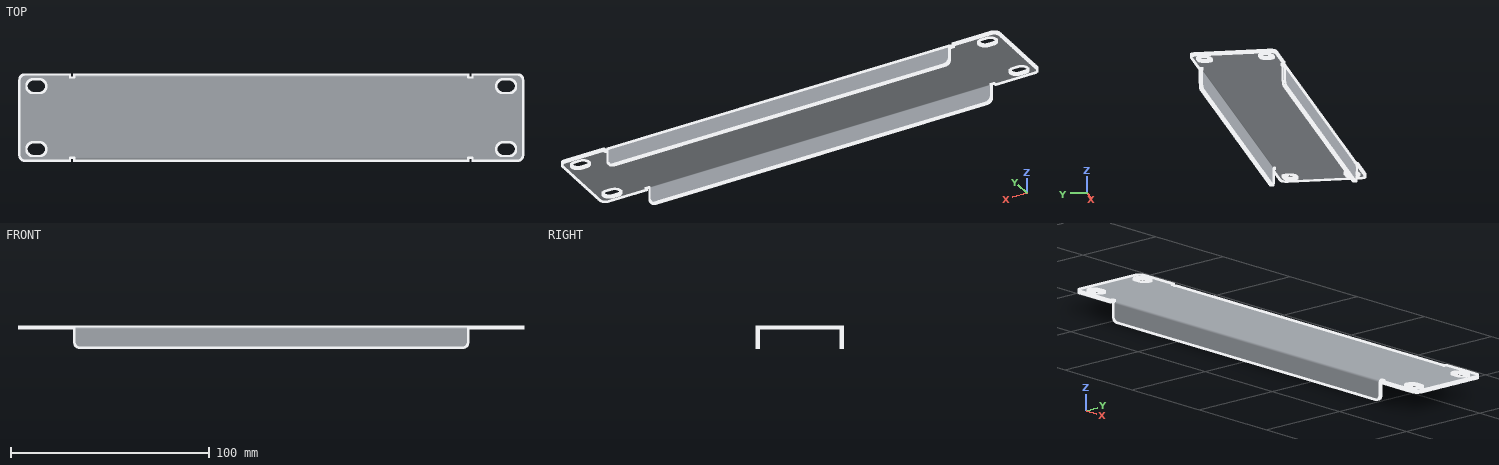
import cadquery as cq

length = 254.0
width = 43.7
height = 11.0
thickness = 1.2
plate_corner_radius = 3.0

slot_length = 10.0
slot_width = 6.9
slot_spacing_x = 236.6
slot_spacing_y = 31.7

flange_length = 198.5
flange_corner_radius = 3.0
bend_outer_radius = 1.5
bend_inner_radius = bend_outer_radius - thickness

relief_width = 2.0
relief_depth = bend_outer_radius


def make_plate():
    """Rounded plate with relief openings where the flanges fold down."""
    plate = (
        cq.Workplane("XY")
        .box(length, width, thickness, centered=(True, True, False))
        .edges("|Z")
        .fillet(plate_corner_radius)
        .translate((0, 0, height - thickness))
    )
    opening_length = flange_length + 2 * relief_width
    openings = (
        cq.Workplane("XY")
        .pushPoints([(0, width / 2), (0, -width / 2)])
        .rect(opening_length, 2 * relief_depth)
        .extrude(height)
    )
    slots = (
        cq.Workplane("XY")
        .rarray(slot_spacing_x, slot_spacing_y, 2, 2)
        .slot2D(slot_length, slot_width)
        .extrude(height)
    )
    return plate.cut(openings).cut(slots)


def make_channel():
    """Plate middle and both flanges, folded from one sheet."""
    outer = (
        cq.Workplane("XY")
        .box(flange_length, width, height, centered=(True, True, False))
        .edges("|X and >Z")
        .fillet(bend_outer_radius)
    )
    inner = (
        cq.Workplane("XY")
        .box(flange_length, width - 2 * thickness, height - thickness, centered=(True, True, False))
        .edges("|X and >Z")
        .fillet(bend_inner_radius)
    )
    return outer.cut(inner).edges("|Y and <Z").fillet(flange_corner_radius)


result = make_plate().union(make_channel()).clean()